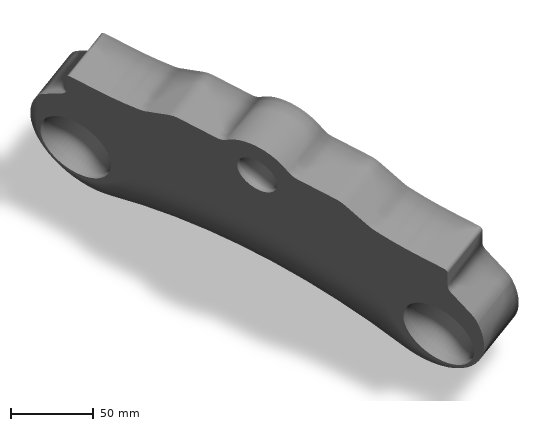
import cadquery as cq
import math

length = 327.5
thickness = 39.0

lobe_radius = 44.2
lobe_x = length / 2 - lobe_radius
lobe_z = -54.7
hole_x = 131.0
hole_z = -66.2
hole_radius = 25.5

bore_radius = 12.5
counterbore_radius = 14.5
counterbore_depth = 17.0
hump_top = 28.5
hump_radius = 31.5
hump_blend = 9.8

plateau_z = 16.5
plateau_end_x = 60.3
plateau_blend = 16.5
dip_start_x = 82.5
dip_start_z = 5.2
dip_mid_x = 100.0
dip_mid_z = 3.0
shoulder_z = 2.3
shoulder_inner_x = 118.0
shoulder_outer_x = 137.5
shoulder_round = 2.5

neck_z = -16.5
neck_blend = 6.5
lobe_blend = 16.5
neck_lobe_angle = math.radians(148)

arch_top = -79.3
arch_drop = lobe_z - arch_top
arch_radius = (lobe_x**2 + arch_drop**2 - lobe_radius**2) / (2 * (lobe_radius - arch_drop))
arch_center_z = arch_top - arch_radius


def lobe_point(angle):
    """Point on the left lobe circle, angle measured from +X."""
    return (-lobe_x + lobe_radius * math.cos(angle), lobe_z + lobe_radius * math.sin(angle))


def mirrored(point):
    return (-point[0], point[1])


arch_angle = math.atan2(arch_center_z - lobe_z, lobe_x)
arch_end = lobe_point(arch_angle)
lobe_start = lobe_point(neck_lobe_angle)
lobe_middle = (-lobe_x - lobe_radius * math.cos(math.pi / 4), lobe_z - lobe_radius * math.sin(math.pi / 4))

hump_center_z = hump_top - hump_radius
hump_foot_x = math.sqrt(hump_radius**2 - (plateau_z - hump_center_z) ** 2)

neck = (-shoulder_outer_x, neck_z)
shoulder_outer = (-shoulder_outer_x, shoulder_z)
shoulder_inner = (-shoulder_inner_x, shoulder_z)
dip_middle = (-dip_mid_x, dip_mid_z)
dip_start = (-dip_start_x, dip_start_z)
plateau_end = (-plateau_end_x, plateau_z)
hump_foot = (-hump_foot_x, plateau_z)


def build_plate():
    plate = (
        cq.Workplane("XZ")
        .moveTo(*arch_end)
        .threePointArc(lobe_middle, lobe_start)
        .lineTo(*neck)
        .lineTo(*shoulder_outer)
        .lineTo(*shoulder_inner)
        .threePointArc(dip_middle, dip_start)
        .lineTo(*plateau_end)
        .lineTo(*hump_foot)
        .threePointArc((0, hump_top), mirrored(hump_foot))
        .lineTo(*mirrored(plateau_end))
        .lineTo(*mirrored(dip_start))
        .threePointArc(mirrored(dip_middle), mirrored(shoulder_inner))
        .lineTo(*mirrored(shoulder_outer))
        .lineTo(*mirrored(neck))
        .lineTo(*mirrored(lobe_start))
        .threePointArc(mirrored(lobe_middle), mirrored(arch_end))
        .threePointArc((0, arch_top), arch_end)
        .close()
        .extrude(thickness / 2, both=True)
    )
    blends = [
        (lobe_start, lobe_blend),
        (neck, neck_blend),
        (shoulder_outer, shoulder_round),
        (dip_start, plateau_blend),
        (plateau_end, plateau_blend),
        (hump_foot, hump_blend),
    ]
    for corner, radius in blends:
        for x, z in (corner, mirrored(corner)):
            plate = plate.edges(cq.NearestToPointSelector((x, 0, z))).fillet(radius)
    return plate


def cut_holes(plate):
    front = cq.Workplane("XZ", origin=(0, -thickness / 2, 0))
    holes = front.pushPoints([(-hole_x, hole_z), (hole_x, hole_z)]).circle(hole_radius).extrude(-thickness)
    bore = front.circle(bore_radius).extrude(-thickness)
    counterbore = front.circle(counterbore_radius).extrude(-counterbore_depth)
    return plate.cut(holes).cut(bore).cut(counterbore)


result = cut_holes(build_plate())